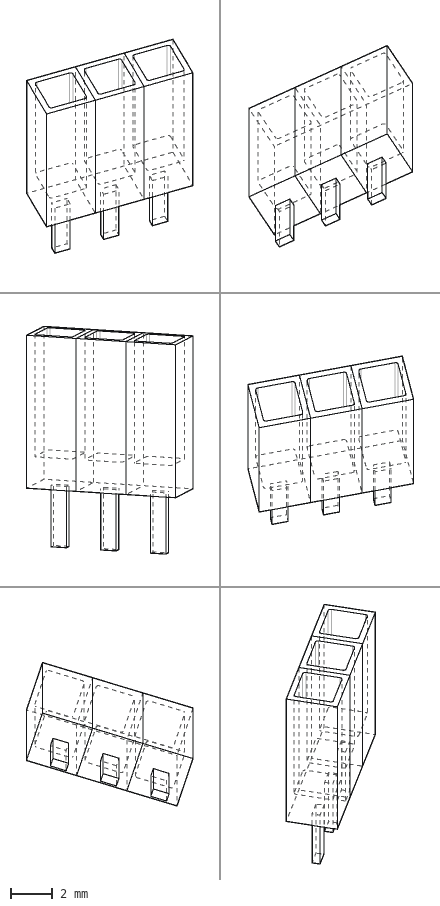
import cadquery as cq

POSITIONS = 3
PITCH = 2.54
TOTAL_HEIGHT = 10.5
PIN_LENGTH = 3.0
PIN_THICKNESS = 0.4
PIN_WIDTH = 0.8
CAVITY_SIDE = 1.94
CAVITY_CORNER_RADIUS = 0.13
CAVITY_DEPTH = 5.98

HOUSING_HEIGHT = TOTAL_HEIGHT - PIN_LENGTH


def make_housing(y):
    """Square tube with a closed floor, standing on Z = 0 and open at the top."""
    block = cq.Workplane("XY").box(PITCH, PITCH, HOUSING_HEIGHT, centered=(True, True, False))
    cavity = (
        cq.Workplane("XY", origin=(0, 0, HOUSING_HEIGHT - CAVITY_DEPTH))
        .rect(CAVITY_SIDE, CAVITY_SIDE)
        .extrude(CAVITY_DEPTH)
        .edges("|Z")
        .fillet(CAVITY_CORNER_RADIUS)
    )
    return block.cut(cavity).translate((0, y, 0))


def make_pin(y):
    """Flat rectangular pin hanging from the centre of a housing floor."""
    return (
        cq.Workplane("XY", origin=(0, y, 0))
        .rect(PIN_THICKNESS, PIN_WIDTH)
        .extrude(-PIN_LENGTH)
    )


row_positions = [(i - (POSITIONS - 1) / 2) * PITCH for i in range(POSITIONS)]
housings = [make_housing(y) for y in row_positions]
pins = [make_pin(y) for y in row_positions]

result = cq.Compound.makeCompound([body.val() for body in housings + pins])